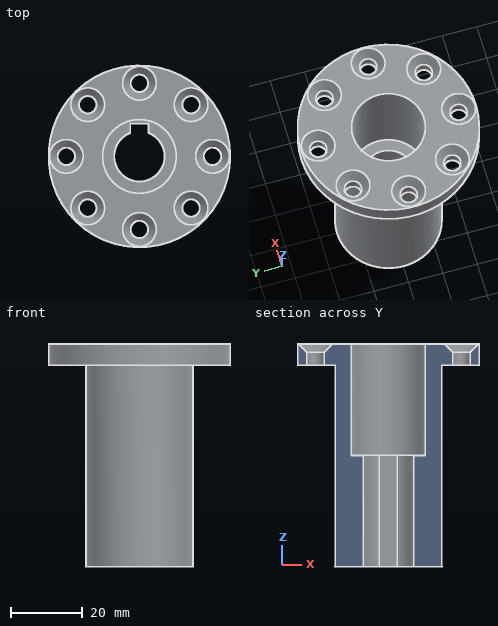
import cadquery as cq

total_height = 62.2
flange_diameter = 50.8
flange_thickness = 6.0
sleeve_diameter = 30.0

shaft_bore_diameter = 14.0
wide_bore_diameter = 20.6
wide_bore_depth = total_height / 2
keyway_width = 5.0
keyway_reach = 9.1

screw_count = 8
screw_circle_diameter = 40.8
screw_hole_diameter = 4.8
countersink_diameter = 9.4
countersink_angle = 90.0


def make_body():
    """Sleeve standing on Z = 0 with the flange at its top end."""
    sleeve = cq.Workplane("XY").circle(sleeve_diameter / 2).extrude(total_height)
    flange = (
        cq.Workplane("XY", origin=(0, 0, total_height - flange_thickness))
        .circle(flange_diameter / 2)
        .extrude(flange_thickness)
    )
    return sleeve.union(flange)


def cut_stepped_bore(body):
    """Through bore, opened out to the wide bore from the flange face."""
    return body.faces(">Z").workplane(origin=(0, 0, 0)).cboreHole(
        shaft_bore_diameter, wide_bore_diameter, wide_bore_depth
    )


def cut_keyway(body):
    """Full-length keyway on the +Y side of the shaft bore."""
    keyway = (
        cq.Workplane("XY")
        .center(0, keyway_reach / 2)
        .rect(keyway_width, keyway_reach)
        .extrude(total_height)
    )
    return body.cut(keyway)


def cut_screw_holes(body):
    """Ring of countersunk through holes in the flange."""
    return (
        body.faces(">Z")
        .workplane(origin=(0, 0, 0))
        .polarArray(screw_circle_diameter / 2, 0, 360, screw_count)
        .cskHole(screw_hole_diameter, countersink_diameter, countersink_angle, flange_thickness)
    )


result = cut_screw_holes(cut_keyway(cut_stepped_bore(make_body())))